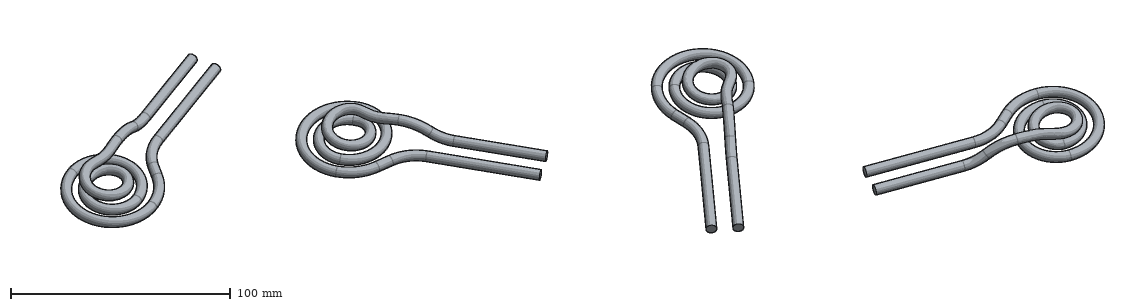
import cadquery as cq
import math

tube_diameter = 5.0
outer_radius = 21.0
total_length = 114.4
spiral_step = 4.0
middle_radius = outer_radius - spiral_step
inner_radius = middle_radius - spiral_step
lead_end_y = total_length - outer_radius - tube_diameter / 2

right_lead_x = 2.3
slant_angle = math.radians(45)
lead_bend_radius = 22.1
turn_bend_radius = 24.0

rising_radius = 10.0
rising_height = 7.0
rising_point_count = 12

left_lead_x = -10.01
lift_start_y = 47.7
lift_angle = math.radians(34)
lift_lower_radius = 20.6
crest_height = 7.9

joint_x = -10.4
joint_y = 9.2
joint_height = 7.1


def right_lead_edges():
    """Edges from the free end of the right lead to the start of the coil."""
    cosine = math.cos(slant_angle)
    sine = math.sin(slant_angle)
    half_cosine = math.cos(slant_angle / 2)
    half_sine = math.sin(slant_angle / 2)
    slant_end = cq.Vector(outer_radius - turn_bend_radius * (1 - cosine), turn_bend_radius * sine)
    slant_start_x = right_lead_x + lead_bend_radius * (1 - cosine)
    slant_rise = (slant_end.x - slant_start_x) / math.tan(slant_angle)
    slant_start = cq.Vector(slant_start_x, slant_end.y + slant_rise)
    bend_start = cq.Vector(right_lead_x, slant_start.y + lead_bend_radius * sine)
    lead_bend_middle = cq.Vector(
        right_lead_x + lead_bend_radius * (1 - half_cosine),
        bend_start.y - lead_bend_radius * half_sine,
    )
    turn_bend_middle = cq.Vector(
        outer_radius - turn_bend_radius * (1 - half_cosine),
        turn_bend_radius * half_sine,
    )
    return [
        cq.Edge.makeLine(cq.Vector(right_lead_x, lead_end_y), bend_start),
        cq.Edge.makeThreePointArc(bend_start, lead_bend_middle, slant_start),
        cq.Edge.makeLine(slant_start, slant_end),
        cq.Edge.makeThreePointArc(slant_end, turn_bend_middle, cq.Vector(outer_radius, 0)),
    ]


def half_turn(start_x, end_x, side):
    """Half circle in the base plane; side is +1 for +Y and -1 for -Y."""
    middle = cq.Vector((start_x + end_x) / 2, side * abs(end_x - start_x) / 2)
    return cq.Edge.makeThreePointArc(cq.Vector(start_x, 0), middle, cq.Vector(end_x, 0))


def flat_spiral_edges():
    """Three half turns, each one spiral step smaller in radius."""
    middle_end_x = 2 * middle_radius - outer_radius
    return [
        half_turn(outer_radius, -outer_radius, -1),
        half_turn(-outer_radius, middle_end_x, 1),
        half_turn(middle_end_x, -inner_radius, -1),
    ]


def rising_turn_edge(crest):
    """One clockwise turn at constant radius, running on smoothly to the crest of the left lead."""
    points = []
    for index in range(rising_point_count + 1):
        fraction = index / rising_point_count
        angle = math.pi - 2 * math.pi * fraction
        x = rising_radius - inner_radius + rising_radius * math.cos(angle)
        points.append(cq.Vector(x, rising_radius * math.sin(angle), rising_height * fraction))
    points += [cq.Vector(joint_x, joint_y, joint_height), crest]
    forward = cq.Vector(0, 1, 0)
    return cq.Edge.makeSpline(points, tangents=[forward, forward], scale=False)


def left_lead_edges():
    """Edges from the flat spiral up the rising turn, over the crest and down to the free end."""
    cosine = math.cos(lift_angle)
    sine = math.sin(lift_angle)
    lower_rise = lift_lower_radius * (1 - cosine)
    upper_radius = (crest_height - lower_rise) / (1 - cosine)
    lift_start = cq.Vector(left_lead_x, lift_start_y, 0)
    arcs_meet = cq.Vector(left_lead_x, lift_start_y - lift_lower_radius * sine, lower_rise)
    crest = cq.Vector(left_lead_x, arcs_meet.y - upper_radius * sine, crest_height)
    forward = cq.Vector(0, 1, 0)
    lead_end = cq.Vector(left_lead_x, lead_end_y, 0)
    lift_slope = cq.Vector(0, cosine, -sine)
    return [
        rising_turn_edge(crest),
        cq.Edge.makeTangentArc(crest, forward, arcs_meet),
        cq.Edge.makeTangentArc(arcs_meet, lift_slope, lift_start),
        cq.Edge.makeLine(lift_start, lead_end),
    ]


path_edges = right_lead_edges() + flat_spiral_edges() + left_lead_edges()
tube_path = cq.Workplane("XY").add(cq.Wire.assembleEdges(path_edges))

section = cq.Workplane("XZ", origin=(right_lead_x, lead_end_y, 0)).circle(tube_diameter / 2)
result = section.sweep(tube_path)